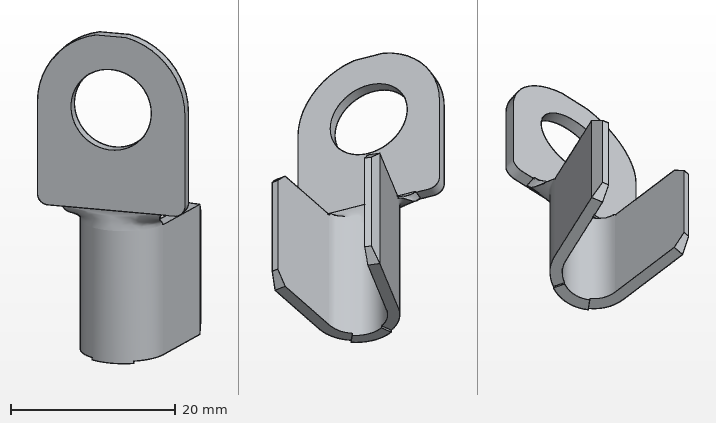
import cadquery as cq
import math

total_height = 41.55
sheet = 1.5

palm_width = 18.8
palm_base_z = 19.4
palm_corner_radius = 1.35
top_flat_width = 3.85
hole_diameter = 10.2
hole_z = 32.2

barrel_radius = 5.35
barrel_bottom_z = 0.3
barrel_top_z = 16.8
wing_lean = 10.0
wing_tip_y = 15.85
wing_tip_thickness = 0.85
wing_tip_length = 1.6
tongue_half_angle = 30.0

bend_half_angle = 90.0 - wing_lean
neck_sections = [
    (17.53, 5.3, 65.0, 0.1),
    (18.2, 5.7, 30.0, 0.15),
    (18.77, 6.0, 8.0, 0.2),
]
neck_top_half_width = 6.3
neck_top_setback = 0.2


def arc_point(radius, angle, center_y=0.0):
    """Point on a barrel arc, angle in degrees from its lowest point towards +X."""
    turn = math.radians(angle)
    return (radius * math.sin(turn), center_y - radius * math.cos(turn))


def curved_strip(z, outer_radius, half_angle, setback=0.0):
    """Closed sheet section bent to an arc, with radial ends."""
    inner_radius = outer_radius - sheet
    center_y = outer_radius + setback
    return (
        cq.Workplane("XY", origin=(0, 0, z))
        .moveTo(*arc_point(outer_radius, -half_angle, center_y))
        .threePointArc(
            arc_point(outer_radius, 0, center_y), arc_point(outer_radius, half_angle, center_y)
        )
        .lineTo(*arc_point(inner_radius, half_angle, center_y))
        .threePointArc(
            arc_point(inner_radius, 0, center_y), arc_point(inner_radius, -half_angle, center_y)
        )
        .close()
    )


def make_palm():
    """Flat plate with a round, slightly flattened top and a stud hole."""
    half_width = palm_width / 2
    half_flat = top_flat_width / 2
    arc_z = total_height - math.sqrt(half_width**2 - half_flat**2)
    diagonal = half_width * math.sqrt(0.5)
    plate = (
        cq.Workplane("XZ")
        .moveTo(-half_width, palm_base_z)
        .lineTo(half_width, palm_base_z)
        .lineTo(half_width, arc_z)
        .threePointArc((diagonal, arc_z + diagonal), (half_flat, total_height))
        .lineTo(-half_flat, total_height)
        .threePointArc((-diagonal, arc_z + diagonal), (-half_width, arc_z))
        .close()
        .extrude(-sheet)
    )
    lower_corners = plate.faces("<Z").edges("|Y")
    plate = lower_corners.fillet(palm_corner_radius)
    hole = cq.Workplane("XZ").center(0, hole_z).circle(hole_diameter / 2).extrude(-sheet)
    return plate.cut(hole)


def make_wing():
    """Right-hand crimp wing with a thinned tip and chamfered tip corners."""
    lean = math.radians(wing_lean)
    along = cq.Vector(math.sin(lean), math.cos(lean), 0)
    inner_radius = barrel_radius - sheet
    inner_x, inner_y = arc_point(inner_radius, bend_half_angle, barrel_radius)
    length = (wing_tip_y - inner_y) / along.y
    height = barrel_top_z - barrel_bottom_z
    section_plane = cq.Plane(
        origin=(inner_x, inner_y, barrel_bottom_z),
        xDir=(math.cos(lean), -math.sin(lean), 0),
        normal=(0, 0, 1),
    )
    wing = (
        cq.Workplane(section_plane)
        .polyline(
            [
                (0, 0),
                (sheet, 0),
                (sheet, length - wing_tip_length),
                (wing_tip_thickness, length),
                (0, length),
            ]
        )
        .close()
        .extrude(height)
    )
    face_plane = cq.Plane(
        origin=(inner_x, inner_y, barrel_bottom_z),
        xDir=along.toTuple(),
        normal=(math.cos(lean), -math.sin(lean), 0),
    )
    outline = (
        cq.Workplane(face_plane)
        .polyline(
            [
                (0, 0),
                (length - wing_tip_length, 0),
                (length, wing_tip_length),
                (length, height - wing_tip_length),
                (length - wing_tip_length, height),
                (0, height),
            ]
        )
        .close()
        .extrude(sheet)
    )
    return wing.intersect(outline)


def make_barrel():
    """Bent barrel floor with its two wings and the short tongue below it."""
    floor = curved_strip(barrel_bottom_z, barrel_radius, bend_half_angle)
    floor = floor.extrude(barrel_top_z - barrel_bottom_z)
    tongue = curved_strip(0, barrel_radius, tongue_half_angle).extrude(barrel_bottom_z)
    wing = make_wing()
    return floor.union(tongue).union(wing).union(wing.mirror("YZ"))


def make_neck():
    """Sheet that unbends from the barrel section to the flat palm."""
    wires = [curved_strip(barrel_top_z, barrel_radius, bend_half_angle).val()]
    for z, half_width, half_angle, setback in neck_sections:
        radius = half_width / math.sin(math.radians(half_angle))
        wires.append(curved_strip(z, radius, half_angle, setback).val())
    flat = (
        cq.Workplane("XY", origin=(0, 0, palm_base_z))
        .center(0, neck_top_setback + sheet / 2)
        .rect(2 * neck_top_half_width, sheet)
    )
    wires.append(flat.val())
    return cq.Workplane(cq.Solid.makeLoft(wires, False))


result = make_barrel().union(make_neck()).union(make_palm())